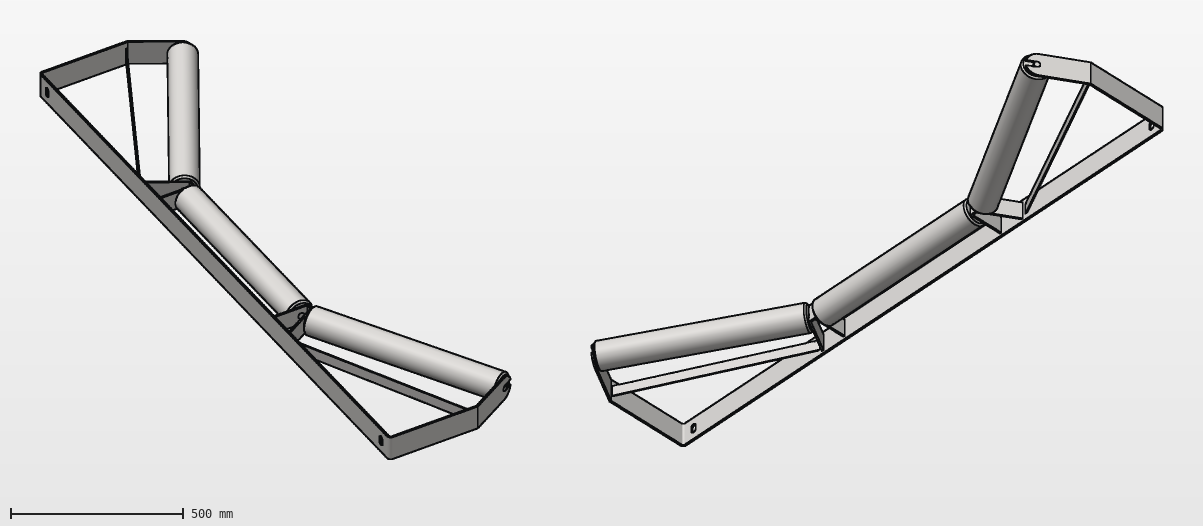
import cadquery as cq
import math

overall_length = 2000.0
strip_width = 80.0
bracket_width = 60.0
strip_thickness = 5.0
shell_diameter = 90.0
shell_length = 640.0
shell_chamfer = 5.0
shaft_diameter = 20.0
support_gap = 2.0
centre_roller_y = 100.0
tilt = 30.0
wing_x = 635.0
wing_y = 272.0
arm_reach = 35.0
corner_radius = 12.0
slot_x = 952.0
slot_width = 18.0
slot_height = 30.0
bridge_top = 125.0
strut_width = 35.0
strut_thickness = 5.0
strut_foot_x = 432.0
strut_head_y = 290.0

half_length = overall_length / 2
arm_straight_end = arm_reach - strip_width / 2
inner_support = shell_length / 2 + support_gap
outer_support = inner_support + strip_thickness
cos_tilt = math.cos(math.radians(tilt))
sin_tilt = math.sin(math.radians(tilt))


def wing_point(along, above):
    """Point by the left wing roller: along its axis (inwards) and square to it (upwards)."""
    return (
        -wing_x + along * cos_tilt + above * sin_tilt,
        wing_y - along * sin_tilt + above * cos_tilt,
    )


def wing_point_at_x(along, x):
    return wing_point(along, (x + wing_x - along * cos_tilt) / sin_tilt)


def wing_point_at_y(along, y):
    return wing_point(along, (y - wing_y + along * sin_tilt) / cos_tilt)


def plate(points, width):
    """Outline in XY extruded to a width centred on Z = 0."""
    return cq.Workplane("XY").polyline(points).close().extrude(width / 2, both=True)


def mirrored(points):
    return [(-x, y) for x, y in reversed(points)]


def place_on_wing(body):
    """Move a body built along X at the origin onto the left wing roller's axis."""
    return body.rotate((0, 0, 0), (0, 0, 1), -tilt).translate((-wing_x, wing_y, 0))


def place_on_centre(body):
    return body.translate((0, centre_roller_y, 0))


def disc_along_x(diameter, start, length):
    return cq.Workplane("YZ").workplane(offset=start).circle(diameter / 2).extrude(length)


def make_roller():
    shell = disc_along_x(shell_diameter, -shell_length / 2, shell_length)
    shell = shell.faces("<X or >X").chamfer(shell_chamfer)
    shaft = disc_along_x(shaft_diameter, -outer_support, 2 * outer_support)
    return shell.union(shaft)


def make_frame():
    inner_x = -half_length + strip_thickness
    outside = [
        wing_point(-outer_support, arm_straight_end),
        wing_point_at_x(-outer_support, -half_length),
        (-half_length, 0),
    ]
    inside = [
        (inner_x, strip_thickness),
        wing_point_at_x(-inner_support, inner_x),
        wing_point(-inner_support, arm_straight_end),
    ]
    outline = outside + mirrored(outside) + mirrored(inside) + inside
    frame = plate(outline, strip_width)
    inner_radius = corner_radius - strip_thickness
    for side in (-1, 1):
        outer_corner = (side * half_length, 0, 0)
        inner_corner = (-side * inner_x, strip_thickness, 0)
        frame = frame.edges(cq.NearestToPointSelector(outer_corner)).fillet(corner_radius)
        frame = frame.edges(cq.NearestToPointSelector(inner_corner)).fillet(inner_radius)

    arm_end = disc_along_x(strip_width, -outer_support, strip_thickness).translate((0, arm_straight_end, 0))
    shaft_slot = disc_along_x(shaft_diameter, -outer_support, strip_thickness).union(
        cq.Workplane("XY")
        .box(strip_thickness, strip_width, shaft_diameter, centered=(False, False, True))
        .translate((-outer_support, 0, 0))
    )
    left_end = place_on_wing(arm_end)
    left_slot = place_on_wing(shaft_slot)
    frame = frame.union(left_end).union(left_end.mirror("YZ"))
    frame = frame.cut(left_slot).cut(left_slot.mirror("YZ"))

    slots = (
        cq.Workplane("XZ")
        .pushPoints([(-slot_x, 0), (slot_x, 0)])
        .slot2D(slot_height, slot_width, 90)
        .extrude(-strip_thickness)
    )
    return frame.cut(slots)


def make_bracket():
    bridge_under = bridge_top - strip_thickness
    outline = [
        wing_point_at_y(inner_support, strip_thickness),
        wing_point_at_y(inner_support, bridge_top),
        (-inner_support, bridge_top),
        (-inner_support, strip_thickness),
        (-outer_support, strip_thickness),
        (-outer_support, bridge_under),
        wing_point_at_y(outer_support, bridge_under),
        wing_point_at_y(outer_support, strip_thickness),
    ]
    wing_hole = place_on_wing(disc_along_x(shaft_diameter, inner_support, strip_thickness))
    centre_hole = place_on_centre(disc_along_x(shaft_diameter, -outer_support, strip_thickness))
    return plate(outline, bracket_width).cut(wing_hole).cut(centre_hole)


def make_strut():
    head = (-half_length + strip_thickness, strut_head_y)
    foot = (-strut_foot_x, strip_thickness)
    slope = math.atan2(head[1] - foot[1], foot[0] - head[0])
    half_rise = strut_thickness / 2 / math.cos(slope)
    half_run = strut_thickness / 2 / math.sin(slope)
    outline = [
        (head[0], head[1] - half_rise),
        (head[0], head[1] + half_rise),
        (foot[0] + half_run, foot[1]),
        (foot[0] - half_run, foot[1]),
    ]
    return plate(outline, strut_width)


frame = make_frame()
centre_roller = place_on_centre(make_roller())
side_bodies = []
for left_body in (place_on_wing(make_roller()), make_bracket(), make_strut()):
    side_bodies += [left_body, left_body.mirror("YZ")]

result = cq.Compound.makeCompound(
    [frame.val(), centre_roller.val()] + [body.val() for body in side_bodies]
)